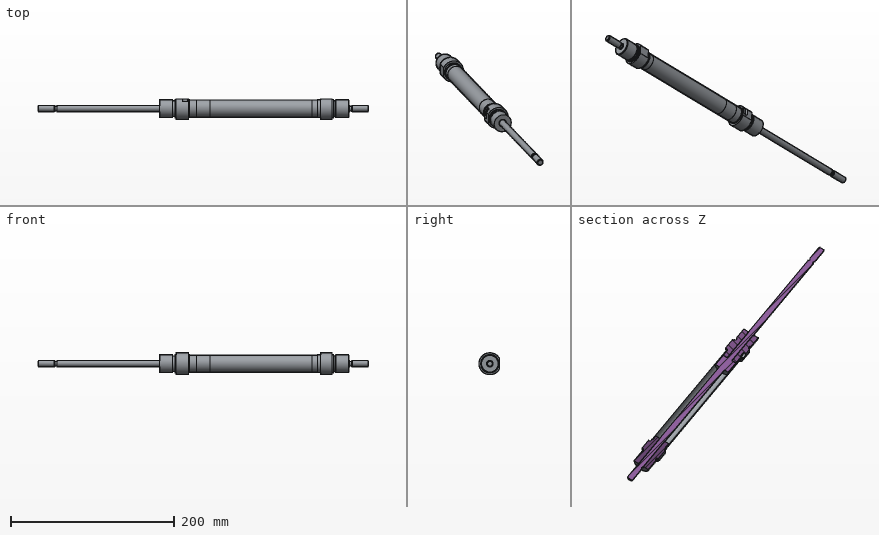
import cadquery as cq


rod_length = 405.0
rod_dia = 8.0
rod_tip_chamfer = 1.0
thread_length = 21.2
thread_runout = 1.2
relief_width = 2.3
relief_dia = 6.0
piston_length = 17.0

tube_dia = 21.4
bore_dia = 20.2

nose_dia = 22.0
neck_dia = 19.5
collar_dia = 22.5
shoulder_dia = 22.0
flange_dia = 27.0
flat_offset = 12.0
nose_chamfer = 0.8

left_nose_start = 149.0
left_nose_length = 16.0
left_neck_length = 3.0
left_collar_length = 1.2
left_flange_length = 15.3
left_shoulder_length = 1.0
left_plug_length = 8.5
rod_recess_dia = 9.5
rod_recess_depth = 1.0

right_plug_length = 6.7
right_shoulder_length = 3.5
right_flange_length = 14.3
right_collar_length = 1.6
right_neck_length = 2.0
right_nose_length = 17.0
right_nose_end = 381.0

port_width = 6.2
port_depth = 3.5
port_edge_distance = 4.4

left_neck_start = left_nose_start + left_nose_length
left_collar_start = left_neck_start + left_neck_length
left_flange_start = left_collar_start + left_collar_length
left_flange_end = left_flange_start + left_flange_length
tube_start = left_flange_end + left_shoulder_length
left_plug_end = tube_start + left_plug_length

right_nose_start = right_nose_end - right_nose_length
right_neck_start = right_nose_start - right_neck_length
right_collar_start = right_neck_start - right_collar_length
right_flange_start = right_collar_start - right_flange_length
tube_end = right_flange_start - right_shoulder_length
right_plug_start = tube_end - right_plug_length


def cylinder(start, length, dia):
    """Solid cylinder along X from the given start."""
    return cq.Workplane("YZ", origin=(start, 0, 0)).circle(dia / 2).extrude(length)


def flange(start, length):
    """Large round flange with one flat on its +Y side."""
    disc = cylinder(start, length, flange_dia)
    beyond_flat = (
        cq.Workplane("XY")
        .box(length, flange_dia, flange_dia, centered=(False, False, True))
        .translate((start, flat_offset, 0))
    )
    return disc.cut(beyond_flat)


def port_slot():
    """Slot sunk into the flat, rounded at the bottom and open toward +Z."""
    port_x = left_flange_end - port_edge_distance
    top = flange_dia / 2
    half_width = port_width / 2
    outline = (
        cq.Workplane("XZ", origin=(port_x, flat_offset, 0))
        .moveTo(-half_width, top)
        .lineTo(-half_width, 0)
        .threePointArc((0, -half_width), (half_width, 0))
        .lineTo(half_width, top)
        .close()
    )
    return outline.extrude(port_depth)


def make_rod_end():
    """Left end of the rod: chamfered tip, thread, thread run-out and relief groove."""
    tip_radius = rod_dia / 2 - rod_tip_chamfer
    relief_end = thread_length + relief_width
    profile = (
        cq.Workplane("XY")
        .lineTo(0, tip_radius)
        .lineTo(rod_tip_chamfer, rod_dia / 2)
        .lineTo(thread_length - thread_runout, rod_dia / 2)
        .lineTo(thread_length, relief_dia / 2)
        .lineTo(relief_end, relief_dia / 2)
        .lineTo(relief_end, 0)
        .close()
    )
    return profile.revolve(360, (0, 0, 0), (1, 0, 0))


def make_rod():
    end_length = thread_length + relief_width
    left_end = make_rod_end()
    right_end = left_end.mirror("YZ").translate((rod_length, 0, 0))
    shaft = cylinder(end_length, rod_length - 2 * end_length, rod_dia)
    piston = cylinder(left_plug_end, piston_length, bore_dia)
    return shaft.union(left_end).union(right_end).union(piston)


def make_left_cover():
    cover = cylinder(left_nose_start, left_nose_length, nose_dia)
    cover = cover.union(cylinder(left_neck_start, left_neck_length, neck_dia))
    cover = cover.union(cylinder(left_collar_start, left_collar_length, collar_dia))
    cover = cover.union(flange(left_flange_start, left_flange_length))
    cover = cover.union(cylinder(left_flange_end, left_shoulder_length, shoulder_dia))
    cover = cover.union(cylinder(tube_start, left_plug_length, bore_dia))
    cover = cover.cut(port_slot())
    cover = cover.cut(cylinder(left_nose_start, rod_recess_depth, rod_recess_dia))
    return cover.cut(cylinder(0, rod_length, rod_dia))


def make_right_cover():
    nose = cylinder(right_nose_start, right_nose_length, nose_dia)
    cover = nose.faces("<X or >X").chamfer(nose_chamfer)
    cover = cover.union(cylinder(right_neck_start, right_neck_length, neck_dia))
    cover = cover.union(cylinder(right_collar_start, right_collar_length, collar_dia))
    cover = cover.union(flange(right_flange_start, right_flange_length))
    cover = cover.union(cylinder(tube_end, right_shoulder_length, shoulder_dia))
    cover = cover.union(cylinder(right_plug_start, right_plug_length, bore_dia))
    return cover.cut(cylinder(0, rod_length, rod_dia))


def make_tube():
    length = tube_end - tube_start
    return cylinder(tube_start, length, tube_dia).cut(cylinder(tube_start, length, bore_dia))


rod = make_rod()
left_cover = make_left_cover()
right_cover = make_right_cover()
tube = make_tube()

result = cq.Compound.makeCompound([rod.val(), left_cover.val(), right_cover.val(), tube.val()])